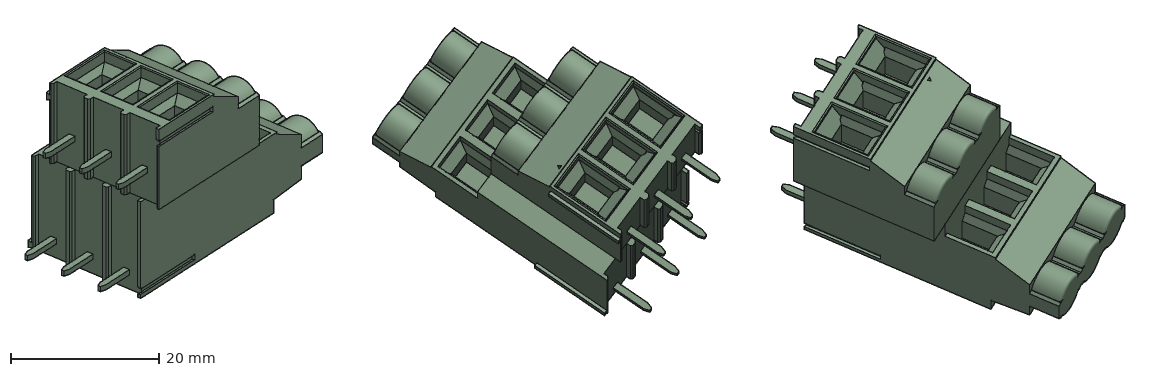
import cadquery as cq

POLES = 3
PITCH = 6.35
TIER_WIDTH = POLES * PITCH
TIER_SHIFT = PITCH / 2
TIER_SETBACK = 17.4
SPLIT_Z = 15.3
TOTAL_HEIGHT = 28.0

TOWER_RADIUS = 3.2
TOWER_ROUND = 0.45
TOWER_LENGTH = 4.5
WEB_HALF_HEIGHT = 1.45
WEB_VALLEY_RISE = 0.3
WEB_VALLEY_RUN = 0.45

LOWER_END_Y = 38.9
LOWER_SCREW_Z = 6.07
LOWER_DECK_Z = 12.5
STEP_HEIGHT = 0.35
SLOPE_RUN = 5.22
SLOPE_FOOT_DROP = 2.9
FOOT_END_Y = 28.47
FOOT_STEP_Z = 2.1
UNDERSIDE_TIP_Z = 2.57

UPPER_END_Y = LOWER_END_Y - TIER_SETBACK
UPPER_SCREW_Z = 21.75

RECESS_DEPTH = 0.89
WALL = 0.545
RIB_WIDTH = 2 * WALL
RIB_CHAMFER = 0.27

PIN_WIDTH = 1.0
PIN_THICKNESS = 0.84
PIN_LENGTH = 5.0
PIN_TIP_LENGTH = 0.85
PIN_TIP_WIDTH = 0.45
LOWER_PIN_Z = 2.7
UPPER_PIN_Z = 20.13

RAIL_HEIGHT = WALL
RAIL_LENGTH = 11.6
RAIL_WIDTH = 1.2
RAIL_ROOT_WIDTH = 0.8
LOWER_RAIL_Z = 1.06
UPPER_RAIL_Z = 25.7

ENTRY_WIDTH = 5.2
FUNNEL_DEPTH = 0.95
FUNNEL_SIDE_RUN = 0.82
FUNNEL_BACK_RUN = 1.6
WALL_DEPTH = 1.7
SHAFT_DEPTH = 4.0
UPPER_ENTRY_BACK_Y = 11.05
UPPER_ENTRY_FRONT_Y = 2.9
UPPER_SHAFT_FRONT_Y = 4.72
RAMP_SHOULDER_RUN = 0.4
RIM_WIDTH = 0.22
RIM_DEPTH = 0.1

MARK_BASE_Y = 12.3
MARK_WIDTH = 0.55
MARK_LENGTH = 0.45
MARK_DEPTH = 0.1


def box(x0, x1, y0, y1, z0, z1):
    return cq.Workplane("XY").box(x1 - x0, y1 - y0, z1 - z0, centered=False).translate((x0, y0, z0))


def extrude_yz(points, x0, width):
    """Extrude a (Y, Z) outline along +X."""
    return cq.Workplane("YZ", origin=(x0, 0, 0)).polyline(points).close().extrude(width)


def taper(top, top_z, bottom, bottom_z):
    """Solid between two rectangles (x0, x1, y0, y1) at different heights."""
    wires = []
    for (x0, x1, y0, y1), z in ((bottom, bottom_z), (top, top_z)):
        corners = [(x0, y0, z), (x1, y0, z), (x1, y1, z), (x0, y1, z)]
        wires.append(cq.Wire.makePolygon([cq.Vector(*c) for c in corners], close=True))
    return cq.Workplane(obj=cq.Solid.makeLoft(wires, True))


def pole_centres(x0):
    return [x0 + (i + 0.5) * PITCH for i in range(POLES)]


def slope_outline(end_y, deck_z):
    """Points from the tower face up the slope and the small step to the deck."""
    face_y = end_y - TOWER_LENGTH
    step_y = face_y - SLOPE_RUN
    return [(face_y, deck_z - SLOPE_FOOT_DROP), (step_y, deck_z - STEP_HEIGHT), (step_y, deck_z)]


def towers(x0, end_y, screw_z, web_bottom=None):
    """Row of round screw towers joined by webs; the web can reach down to a flat bottom."""
    start_y = end_y - TOWER_LENGTH
    root_y = start_y - TOWER_ROUND
    valley = WEB_HALF_HEIGHT
    crest = WEB_HALF_HEIGHT + WEB_VALLEY_RISE
    half = PITCH / 2
    crest_x = half - WEB_VALLEY_RUN
    upper_edge = [(half, valley), (crest_x, crest), (-crest_x, crest), (-half, valley)]
    if web_bottom is None:
        lower_edge = [(-x, -z) for x, z in upper_edge]
    else:
        lower_edge = [(-half, web_bottom - screw_z), (half, web_bottom - screw_z)]
    row = box(x0, x0 + TIER_WIDTH, root_y, start_y, screw_z - valley, screw_z + valley)
    for x in pole_centres(x0):
        end_plane = cq.Workplane("XZ", origin=(x, end_y, screw_z))
        tower = end_plane.circle(TOWER_RADIUS).extrude(end_y - root_y).faces(">Y").edges().fillet(TOWER_ROUND)
        web = end_plane.polyline(upper_edge + lower_edge).close().extrude(end_y - root_y)
        row = row.union(tower).union(web)
    envelope = box(x0, x0 + TIER_WIDTH, root_y, end_y, 0, TOTAL_HEIGHT)
    return row.intersect(envelope)


def recess_cutter(x0, z0, z1):
    """Clears the solder face between the end walls, leaving chamfered ribs between poles."""
    cutter = box(x0 + WALL, x0 + TIER_WIDTH - WALL, 0, RECESS_DEPTH, z0, z1)
    inner_x = x0 + WALL
    left_chamfer = [(inner_x, 0), (inner_x - RIB_CHAMFER, 0), (inner_x, RIB_CHAMFER)]
    base_plane = cq.Workplane("XY", origin=(0, 0, z0))
    cutter = cutter.union(base_plane.polyline(left_chamfer).close().extrude(z1 - z0))
    for i in range(1, POLES):
        rib_x = x0 + i * PITCH
        rib = box(rib_x - RIB_WIDTH / 2, rib_x + RIB_WIDTH / 2, 0, RECESS_DEPTH, z0, z1)
        cutter = cutter.cut(rib.faces("<Y").edges("|Z").chamfer(RIB_CHAMFER))
    return cutter


def right_wall_chamfer(x_side):
    """Inner chamfer of the upper tier's right end wall, below the dovetail groove."""
    inner_x = x_side - WALL
    corner = [(inner_x, 0), (inner_x + RIB_CHAMFER, 0), (inner_x, RIB_CHAMFER)]
    plane = cq.Workplane("XY", origin=(0, 0, SPLIT_Z))
    return plane.polyline(corner).close().extrude(UPPER_RAIL_Z - SPLIT_Z)


def pins(x0, z):
    """Flat solder pins with tapered tips, rooted in the recessed solder face."""
    half = PIN_WIDTH / 2
    tip_half = PIN_TIP_WIDTH / 2
    shoulder_y = PIN_TIP_LENGTH - PIN_LENGTH
    right_side = [(half, RECESS_DEPTH), (half, shoulder_y), (tip_half, -PIN_LENGTH)]
    left_side = [(-x, y) for x, y in reversed(right_side)]
    row = cq.Workplane("XY")
    for x in pole_centres(x0):
        plane = cq.Workplane("XY", origin=(x, 0, z - PIN_THICKNESS / 2))
        row = row.add(plane.polyline(right_side + left_side).close().extrude(PIN_THICKNESS))
    return row.combine()


def dovetail(x_root, z):
    """Dovetail bar along Y that widens toward -X, away from the plane x_root."""
    outline = [
        (x_root, RAIL_ROOT_WIDTH / 2),
        (x_root - RAIL_HEIGHT, RAIL_WIDTH / 2),
        (x_root - RAIL_HEIGHT, -RAIL_WIDTH / 2),
        (x_root, -RAIL_ROOT_WIDTH / 2),
    ]
    return cq.Workplane("XZ", origin=(0, RAIL_LENGTH, z)).polyline(outline).close().extrude(RAIL_LENGTH)


def wire_entry(x, back_y, mouth_front_y, shaft_front_y, top_z):
    """Wire entry: straight walls, a sloping funnel and a straight shaft."""
    funnel_z = top_z - WALL_DEPTH
    shaft_z = funnel_z - FUNNEL_DEPTH
    left = x - ENTRY_WIDTH / 2
    right = x + ENTRY_WIDTH / 2
    shaft_left = left + FUNNEL_SIDE_RUN
    shaft_right = right - FUNNEL_SIDE_RUN
    shaft_back_y = back_y - FUNNEL_BACK_RUN
    mouth = box(left, right, mouth_front_y, back_y, funnel_z, top_z)
    funnel = taper(
        (left, right, mouth_front_y, back_y),
        funnel_z,
        (shaft_left, shaft_right, shaft_front_y, shaft_back_y),
        shaft_z,
    )
    shaft = box(shaft_left, shaft_right, shaft_front_y, shaft_back_y, shaft_z - SHAFT_DEPTH, shaft_z)
    return mouth.union(funnel).union(shaft)


def front_ramp(x):
    """Ramp at the front of an upper entry, as steep as the funnel sides and full width up to its shoulder."""
    shaft_z = TOTAL_HEIGHT - WALL_DEPTH - FUNNEL_DEPTH
    rise_per_run = FUNNEL_DEPTH / FUNNEL_SIDE_RUN
    shoulder_y = UPPER_SHAFT_FRONT_Y - RAMP_SHOULDER_RUN
    shoulder_z = shaft_z + RAMP_SHOULDER_RUN * rise_per_run
    front_z = shaft_z + (UPPER_SHAFT_FRONT_Y - UPPER_ENTRY_FRONT_Y) * rise_per_run
    outline = [
        (UPPER_ENTRY_FRONT_Y, TOTAL_HEIGHT),
        (UPPER_ENTRY_FRONT_Y, front_z),
        (shoulder_y, shoulder_z),
        (shoulder_y, TOTAL_HEIGHT),
    ]
    return extrude_yz(outline, x - ENTRY_WIDTH / 2, ENTRY_WIDTH)


def entry_rim(x):
    """Shallow bevel around the mouth of an upper wire entry."""
    left = x - ENTRY_WIDTH / 2
    right = x + ENTRY_WIDTH / 2
    mouth = (left, right, UPPER_ENTRY_FRONT_Y, UPPER_ENTRY_BACK_Y)
    rim = (
        left - RIM_WIDTH,
        right + RIM_WIDTH,
        UPPER_ENTRY_FRONT_Y - RIM_WIDTH,
        UPPER_ENTRY_BACK_Y + RIM_WIDTH,
    )
    return taper(rim, TOTAL_HEIGHT, mouth, TOTAL_HEIGHT - RIM_DEPTH)


def first_pole_mark():
    """Shallow triangle engraved in the upper slope above the first pole."""
    (foot_y, foot_z), (step_y, step_z), _ = slope_outline(UPPER_END_Y, TOTAL_HEIGHT)
    fall = (step_z - foot_z) / (foot_y - step_y)
    base_z = step_z - (MARK_BASE_Y - step_y) * fall
    slope_plane = cq.Plane(
        origin=(pole_centres(TIER_SHIFT)[0], MARK_BASE_Y, base_z),
        xDir=(1, 0, 0),
        normal=(0, fall, 1),
    )
    triangle = [(-MARK_WIDTH / 2, 0), (MARK_WIDTH / 2, 0), (0, MARK_LENGTH)]
    return cq.Workplane(slope_plane).polyline(triangle).close().extrude(-MARK_DEPTH)


def lower_tier():
    face_y = LOWER_END_Y - TOWER_LENGTH
    outline = [(0, 0), (FOOT_END_Y, 0), (FOOT_END_Y, FOOT_STEP_Z), (face_y, UNDERSIDE_TIP_Z)]
    outline += slope_outline(LOWER_END_Y, LOWER_DECK_Z)
    outline += [(UPPER_END_Y, LOWER_DECK_Z), (UPPER_END_Y, SPLIT_Z), (0, SPLIT_Z)]
    tier = extrude_yz(outline, 0, TIER_WIDTH)
    tier = tier.union(towers(0, LOWER_END_Y, LOWER_SCREW_Z))
    tier = tier.cut(recess_cutter(0, 0, SPLIT_Z))
    tier = tier.union(pins(0, LOWER_PIN_Z))
    tier = tier.union(dovetail(0, LOWER_RAIL_Z))
    tier = tier.cut(dovetail(TIER_WIDTH, LOWER_RAIL_Z))
    entry_back_y = UPPER_ENTRY_BACK_Y + TIER_SETBACK
    for x in pole_centres(0):
        tier = tier.cut(wire_entry(x, entry_back_y, UPPER_END_Y, UPPER_END_Y, LOWER_DECK_Z))
    return tier


def upper_tier():
    x0 = TIER_SHIFT
    face_y = UPPER_END_Y - TOWER_LENGTH
    outline = [(0, SPLIT_Z), (face_y, SPLIT_Z)]
    outline += slope_outline(UPPER_END_Y, TOTAL_HEIGHT)
    outline += [(0, TOTAL_HEIGHT)]
    tier = extrude_yz(outline, x0, TIER_WIDTH)
    tier = tier.union(towers(x0, UPPER_END_Y, UPPER_SCREW_Z, web_bottom=SPLIT_Z))
    tier = tier.cut(recess_cutter(x0, SPLIT_Z, TOTAL_HEIGHT))
    tier = tier.cut(right_wall_chamfer(x0 + TIER_WIDTH))
    tier = tier.union(pins(x0, UPPER_PIN_Z))
    tier = tier.union(dovetail(x0, UPPER_RAIL_Z))
    tier = tier.cut(dovetail(x0 + TIER_WIDTH, UPPER_RAIL_Z))
    mouth_front_y = UPPER_SHAFT_FRONT_Y - FUNNEL_SIDE_RUN
    for x in pole_centres(x0):
        entry = wire_entry(x, UPPER_ENTRY_BACK_Y, mouth_front_y, UPPER_SHAFT_FRONT_Y, TOTAL_HEIGHT)
        tier = tier.cut(entry).cut(front_ramp(x)).cut(entry_rim(x))
    return tier.cut(first_pole_mark())


lower_housing = lower_tier()
upper_housing = upper_tier()
result = cq.Compound.makeCompound([lower_housing.val(), upper_housing.val()])